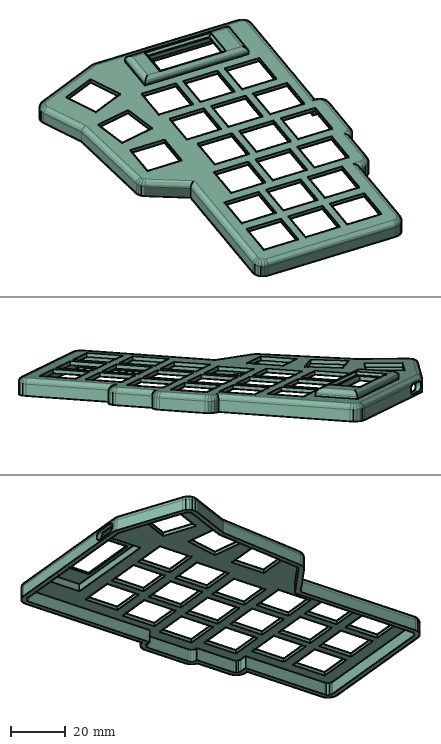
import cadquery as cq
import math

PART_LENGTH = 136.15
PART_WIDTH = 95.89
PART_HEIGHT = 9.4
BODY_HEIGHT = 6.5
WALL = 2.0
PLATE_THICKNESS = 1.5
PLATE_UNDERSIDE = BODY_HEIGHT - PLATE_THICKNESS
EDGE_FILLET = 2.0
CORNER_RADIUS = 4.0
FACETS_PER_QUARTER = 5

TOP_BUMP_Y = 67.87
BUMP_STEP = 3.8
TOP_LEFT_Y = TOP_BUMP_Y - BUMP_STEP
TOP_INDEX_Y = 65.4
TOP_RIGHT_Y = 60.3
BUMP_LEFT_X = 55.3
BUMP_ARC_CENTER_X = 77.1
INDEX_RIGHT_X = 99.1

THUMB_TILT = 24.0
LOWEST_FACET_TILT = THUMB_TILT - 90 / FACETS_PER_QUARTER
LOWEST_Y = TOP_BUMP_Y - PART_WIDTH
SIDE_TURN_Y = 1.65
THUMB_NOTCH_X = 33.5
THUMB_EDGE_TILT = 6.0
INNER_NOTCH_X = 81.6
INNER_EDGE_TILT = 30.0

KEY_SIZE = 14.0
KEY_PITCH_X = 18.0
KEY_PITCH_Y = 17.0
KEY_ROWS = 3
FIRST_COLUMN_X = 32.1
BOTTOM_ROW_Y = 13.0
STAGGER = 2.375
COLUMN_STAGGERS = (1, 2, 3, 2, 0, 0)
THUMB_KEYS = (
    (18.2, -7.9, THUMB_TILT),
    (40.0, -5.85, THUMB_TILT / 2),
    (60.55, -3.55, 0.0),
)

FRAME_X = 13.15
FRAME_Y = 32.9
FRAME_WIDTH = 16.3
FRAME_LENGTH = 42.4
FRAME_WALL = 1.5
FRAME_ROOF = 1.4
WINDOW_Y = 32.2
WINDOW_WIDTH = 10.6
WINDOW_LENGTH = 25.0
WINDOW_SIDE_BEVEL = 0.8
WINDOW_END_BEVEL = 1.0
WINDOW_BEVEL_DEPTH = 1.0

SLOT_Y = 7.4
SLOT_Z = 2.75
SLOT_LENGTH = 10.0
SLOT_HEIGHT = 3.7


def polar(origin, distance, angle):
    """Point at a distance and direction, in degrees, from origin."""
    turn = math.radians(angle)
    return (origin[0] + distance * math.cos(turn), origin[1] + distance * math.sin(turn))


def crossing(start, start_angle, other, other_angle):
    """Point where two lines, each given by a point and a direction, cross."""
    ux, uy = polar((0, 0), 1, start_angle)
    vx, vy = polar((0, 0), 1, other_angle)
    dx = other[0] - start[0]
    dy = other[1] - start[1]
    return polar(start, (dx * vy - dy * vx) / (ux * vy - uy * vx), start_angle)


def faceted_arc(center, radius, start_angle, end_angle):
    """Points of a counter-clockwise arc made of equal flat facets."""
    sweep = end_angle - start_angle
    count = math.ceil(round(sweep * FACETS_PER_QUARTER / 90, 3))
    step = sweep / count
    return [polar(center, radius, start_angle + i * step) for i in range(count + 1)]


def inset_crossing(corner, in_angle, out_angle, inset):
    """Where the two edges meeting at a corner cross once both are moved inward (to their left)."""
    in_point = polar(corner, inset, in_angle + 90)
    out_point = polar(corner, inset, out_angle + 90)
    return crossing(in_point, in_angle, out_point, out_angle)


def thumb_outline(inset):
    """Points from the left wall around the thumb keys to the inner notch."""
    radius = CORNER_RADIUS - inset
    inner_angle = 90 - INNER_EDGE_TILT

    side_center = (CORNER_RADIUS, SIDE_TURN_Y)
    low_center_y = LOWEST_Y + CORNER_RADIUS * math.cos(math.radians(LOWEST_FACET_TILT))
    low_center = crossing(side_center, THUMB_TILT - 90, (0, low_center_y), 0)

    thumb_edge_point = polar(low_center, CORNER_RADIUS, THUMB_TILT - 90)
    thumb_notch = crossing(thumb_edge_point, THUMB_TILT, (THUMB_NOTCH_X, 0), 90)
    inner_notch = (INNER_NOTCH_X, 0)
    thumb_corner = crossing(thumb_notch, THUMB_EDGE_TILT, inner_notch, inner_angle)
    thumb_center = inset_crossing(thumb_corner, THUMB_EDGE_TILT, inner_angle, CORNER_RADIUS)

    points = faceted_arc(side_center, radius, 180, 180 + THUMB_TILT)
    points += faceted_arc(low_center, radius, 180 + THUMB_TILT, 270 + THUMB_TILT)
    points += [inset_crossing(thumb_notch, THUMB_TILT, THUMB_EDGE_TILT, inset)]
    points += faceted_arc(thumb_center, radius, 270 + THUMB_EDGE_TILT, 360 - INNER_EDGE_TILT)
    points += [inset_crossing(inner_notch, inner_angle, 0, inset)]
    return points


def upper_outline(inset):
    """Points from the lower right corner over the stepped top edge to the top left corner."""
    radius = CORNER_RADIUS - inset
    right_x = PART_LENGTH - CORNER_RADIUS
    bump_center_y = TOP_BUMP_Y - CORNER_RADIUS
    left_level = TOP_LEFT_Y - inset
    index_level = TOP_INDEX_Y - inset

    index_meet = math.degrees(math.asin((index_level - bump_center_y) / radius))
    left_rise = max(0, left_level - bump_center_y)
    left_meet = 180 - math.degrees(math.asin(left_rise / radius))

    points = faceted_arc((right_x, CORNER_RADIUS), radius, -90, 0)
    points += faceted_arc((right_x, TOP_RIGHT_Y - CORNER_RADIUS), radius, 0, 90)
    points += [(INDEX_RIGHT_X - inset, TOP_RIGHT_Y - inset)]
    points += faceted_arc((INDEX_RIGHT_X - CORNER_RADIUS, TOP_INDEX_Y - CORNER_RADIUS), radius, 0, 90)
    points += faceted_arc((BUMP_ARC_CENTER_X, bump_center_y), radius, index_meet, 90)
    points += faceted_arc((BUMP_LEFT_X + CORNER_RADIUS, bump_center_y), radius, 90, left_meet)
    if left_level < bump_center_y:
        points += [(BUMP_LEFT_X + inset, left_level)]
    points += faceted_arc((CORNER_RADIUS, TOP_LEFT_Y - CORNER_RADIUS), radius, 90, 180)
    return points


def plan(inset, height):
    """Prism of the counter-clockwise plan outline, moved inward by inset."""
    points = thumb_outline(inset) + upper_outline(inset)
    return cq.Workplane("XY").polyline(points).close().extrude(height)


def body():
    """Solid slab with a rounded top edge."""
    return plan(0, BODY_HEIGHT).faces(">Z").edges().fillet(EDGE_FILLET)


def display_frame():
    """Raised block around the display, rounded along its top edges."""
    frame = cq.Workplane("XY").rect(FRAME_WIDTH, FRAME_LENGTH)
    frame = frame.extrude(PART_HEIGHT - PLATE_UNDERSIDE)
    frame = frame.faces(">Z").edges().fillet(EDGE_FILLET)
    return frame.translate((FRAME_X, FRAME_Y, PLATE_UNDERSIDE))


def display_window():
    """Opening through the roof of the frame, with a bevelled top rim."""
    rim_width = WINDOW_WIDTH + 2 * WINDOW_SIDE_BEVEL
    rim_length = WINDOW_LENGTH + 2 * WINDOW_END_BEVEL
    shaft = cq.Workplane("XY").rect(WINDOW_WIDTH, WINDOW_LENGTH).extrude(FRAME_ROOF)
    rim = cq.Workplane("XY").workplane(offset=FRAME_ROOF - WINDOW_BEVEL_DEPTH)
    rim = rim.rect(WINDOW_WIDTH, WINDOW_LENGTH)
    rim = rim.workplane(offset=WINDOW_BEVEL_DEPTH).rect(rim_width, rim_length).loft(ruled=True)
    return shaft.union(rim).translate((FRAME_X, WINDOW_Y, PART_HEIGHT - FRAME_ROOF))


def display_pocket():
    """Recess for the display, open to the underside and closed by the frame roof."""
    pocket = cq.Workplane("XY").rect(FRAME_WIDTH - 2 * FRAME_WALL, FRAME_LENGTH - 2 * FRAME_WALL)
    pocket = pocket.extrude(PART_HEIGHT - FRAME_ROOF)
    return pocket.translate((FRAME_X, FRAME_Y, 0))


def key_opening(x, y, angle):
    """Square prism for one key switch."""
    opening = cq.Workplane("XY").rect(KEY_SIZE, KEY_SIZE).extrude(BODY_HEIGHT)
    return opening.rotate((0, 0, 0), (0, 0, 1), angle).translate((x, y, 0))


def key_openings():
    """Staggered columns of keys and the fan of thumb keys."""
    openings = cq.Workplane("XY")
    for column, stagger in enumerate(COLUMN_STAGGERS):
        x = FIRST_COLUMN_X + column * KEY_PITCH_X
        for row in range(KEY_ROWS):
            y = BOTTOM_ROW_Y + row * KEY_PITCH_Y + stagger * STAGGER
            openings = openings.add(key_opening(x, y, 0))
    for x, y, angle in THUMB_KEYS:
        openings = openings.add(key_opening(x, y, angle))
    return openings.combine()


def cable_slot():
    """Round-ended slot through the left wall."""
    slot = cq.Workplane("YZ").slot2D(SLOT_LENGTH, SLOT_HEIGHT).extrude(WALL)
    return slot.translate((0, SLOT_Y, SLOT_Z))


result = body().cut(plan(WALL, PLATE_UNDERSIDE)).union(display_frame())
for cutter in (display_window(), display_pocket(), key_openings(), cable_slot()):
    result = result.cut(cutter)